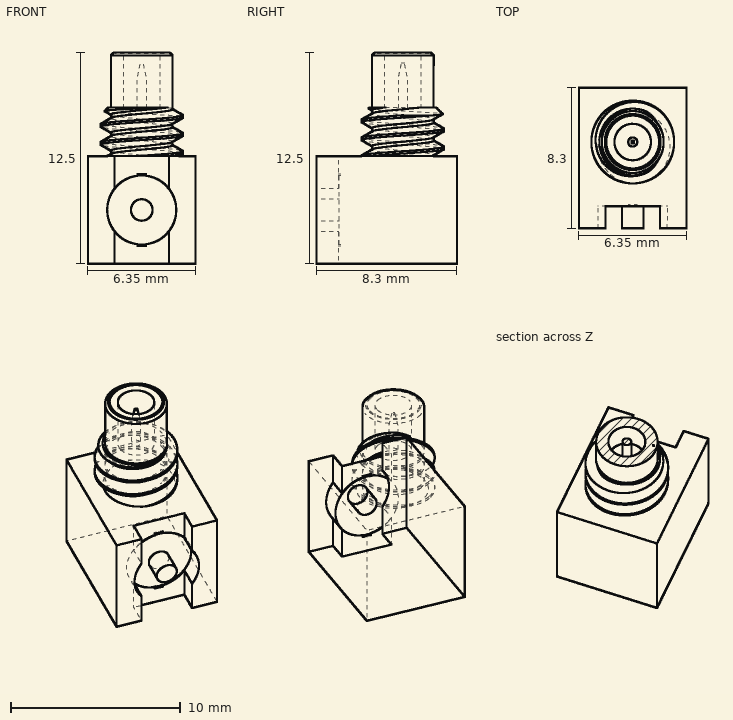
import cadquery as cq
import math

total_height = 12.47
block_side = 6.35
block_length = 8.3
barrel_to_back = 3.2
barrel_y = block_length / 2 - barrel_to_back
port_z = block_side / 2

slot_width = 3.19
slot_depth = 1.3
port_diameter = 4.08
port_extra_depth = 0.02
notch_width = 0.52
notch_height = 4.24
notch_extra_depth = 0.12
front_pin_diameter = 1.27

barrel_diameter = 3.65
barrel_chamfer = 0.17
recess_diameter = 3.12
recess_depth = 0.06
socket_diameter = 2.16
socket_depth = 3.24

contact_diameter = 0.54
contact_tip_diameter = 0.17
contact_tip_drop = 0.62
contact_taper_length = 0.87

thread_diameter = 4.89
thread_pitch = 1.06
thread_top = 9.23
thread_top_diameter = 3.94
crest_width = 0.14
flank_angle = 30.0
crest_z = 8.69
turns_below = 3
turns_above = 1
envelope_clearance = 0.12
joint_overlap = 0.06


def make_block():
    block = cq.Workplane("XY").box(block_side, block_length, block_side, centered=(True, True, False))
    front_y = -block_length / 2
    slot = cq.Workplane("XY").box(slot_width, slot_depth, block_side, centered=(True, False, False))
    face = cq.Workplane("XZ", origin=(0, front_y, port_z))
    port = face.circle(port_diameter / 2).extrude(-(slot_depth + port_extra_depth))
    notches = face.rect(notch_width, notch_height).extrude(-(slot_depth + notch_extra_depth))
    pin = face.circle(front_pin_diameter / 2).extrude(-(slot_depth + port_extra_depth + joint_overlap))
    port_core = face.circle(port_diameter / 2).extrude(-(slot_depth + notch_extra_depth))
    notches = notches.cut(port_core)
    return block.cut(slot.translate((0, front_y, 0))).cut(port).cut(notches).union(pin)


def make_barrel():
    return (
        cq.Workplane("XY", origin=(0, 0, port_z))
        .circle(barrel_diameter / 2)
        .extrude(total_height - port_z)
        .faces(">Z")
        .chamfer(barrel_chamfer)
    )


def make_thread():
    root_radius = barrel_diameter / 2 - joint_overlap
    crest_radius = thread_diameter / 2
    half_crest = crest_width / 2
    half_root = half_crest + (crest_radius - root_radius) * math.tan(math.radians(flank_angle))
    start_z = crest_z - turns_below * thread_pitch
    helix_length = (turns_below + turns_above) * thread_pitch
    helix = cq.Wire.makeHelix(thread_pitch, helix_length, crest_radius).translate(cq.Vector(0, 0, start_z))
    ridge = (
        cq.Workplane("XZ", origin=(0, 0, start_z))
        .moveTo(root_radius, -half_root)
        .lineTo(crest_radius, -half_crest)
        .lineTo(crest_radius, half_crest)
        .lineTo(root_radius, half_root)
        .close()
        .sweep(cq.Workplane(helix), isFrenet=True)
    )
    clear_radius = crest_radius + envelope_clearance
    lead_in = clear_radius - thread_top_diameter / 2
    envelope = (
        cq.Workplane("XY", origin=(0, 0, port_z))
        .circle(clear_radius)
        .extrude(thread_top - port_z)
        .faces(">Z")
        .chamfer(lead_in)
    )
    floor = cq.Workplane("XY").circle(clear_radius).extrude(block_side - joint_overlap)
    return ridge.intersect(envelope.cut(floor))


def make_socket():
    top = cq.Workplane("XY", origin=(0, 0, total_height))
    recess = top.circle(recess_diameter / 2).extrude(-recess_depth)
    return recess.union(top.circle(socket_diameter / 2).extrude(-socket_depth))


def make_contact():
    floor_z = total_height - socket_depth
    base_z = floor_z - joint_overlap
    tip_z = total_height - contact_tip_drop
    profile = [
        (0, base_z),
        (contact_diameter / 2, base_z),
        (contact_diameter / 2, tip_z - contact_taper_length),
        (contact_tip_diameter / 2, tip_z),
        (0, tip_z),
    ]
    return cq.Workplane("XZ").polyline(profile).close().revolve(360, (0, 0, 0), (0, 1, 0))


connector = make_barrel().union(make_thread()).cut(make_socket()).union(make_contact())
result = make_block().union(connector.translate((0, barrel_y, 0)))